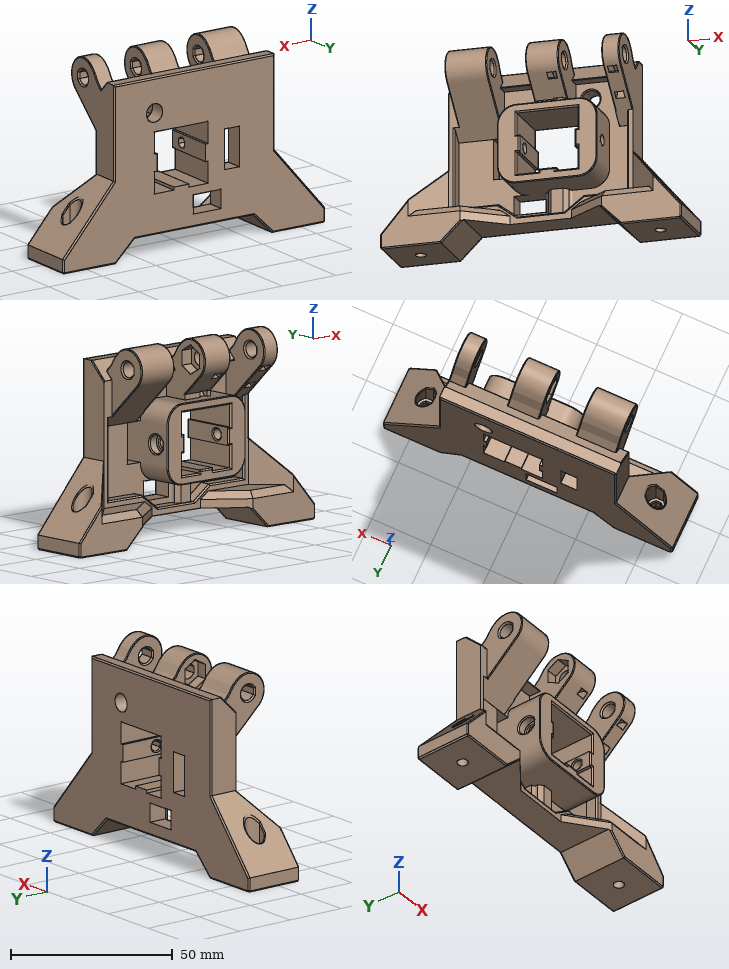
import cadquery as cq
import math

width = 98.0
foot_depth = 19.9
body_half_width = 30.0
body_depth = 10.0
body_height = 57.7
top_slope = 5.8
foot_outer_height = 4.7
foot_shoulder_height = 26.8
foot_inner_x = 29.3
bridge_half_width = 22.1
bridge_bottom = 7.0
edge_chamfer = 0.5
front_chamfer = 0.4
side_chamfer = 0.3

ledge_height = 12.0
ledge_chamfer = 2.3
ledge_chamfer_depth = 2.0
ledge_front_x = 23.0
ledge_end_x = 10.0

recess_floor_y = -6.0
recess_half_width = 28.0
recess_bottom = 14.0
recess_low_bottom = 9.3
recess_step_x = 13.9
recess_low_x = 7.5
recess_top = body_height - top_slope - 0.3
recess_chamfer = 0.5

eye_y = -17.15
eye_z = 56.1
eye_radius = 6.6
eye_spans = [(-26.8, -13.1), (-0.5, 10.2), (24.3, body_half_width)]
nut_eye = eye_spans[1]
eye_chamfer = 0.3
arm_bottom_z = 40.4
arm_top_y = -7.35
arm_knee_y = -9.4
arm_step_y = -11.2
bolt_diameter = 5.0
bolt_chamfer = 0.5
nut_flats = 8.0
nut_depth = 3.9

strap_width = 2.9
strap_inner_radius = 3.4
strap_outer_radius = 5.8
strap_z = 47.2
strap_centers = [7.3, 27.0]

housing_x = 4.9
housing_z = 30.2
housing_width = 32.4
housing_height = 25.6
housing_front_y = -18.6
housing_corner = 6.1
housing_chamfer = 0.3
opening = 20.0
opening_chamfer = 0.5
rib_thickness = 1.0
rib_width = 5.7

screw_diameter = 3.4
head_diameter = 6.0
screw_chamfer = 0.4
housing_screw_y = -13.1
housing_head_depth = 2.9
foot_screw_x = 39.0
foot_screw_y = -10.0
foot_head_seat = 5.0

cable_hole_x = 14.9
cable_hole_z = 46.4
side_window = (-16.8, 23.5, 36.7)
low_window = (-10.0, 0.4, 11.2)

floor_rib_x = 4.9
floor_rib_width = 6.8
floor_rib_rise = 2.9
floor_rib_chamfer = 1.5
floor_rib_fillet = 1.0

tie_front_y = -14.6


def box(x0, x1, y0, y1, z0, z1):
    return cq.Workplane("XY").box(x1 - x0, y1 - y0, z1 - z0, centered=False).translate((x0, y0, z0))


def front_prism(sketch, y_back, y_front):
    """Extrude a closed XZ outline from y_back to y_front."""
    return sketch.extrude(y_back - y_front).translate((0, y_back, 0))


def frame():
    right = [
        (bridge_half_width, bridge_bottom),
        (foot_inner_x, 0),
        (width / 2 - edge_chamfer, 0),
        (width / 2, edge_chamfer),
        (width / 2, foot_outer_height),
        (body_half_width, foot_shoulder_height),
        (body_half_width, body_height),
    ]
    left = [(-x, z) for x, z in reversed(right)]
    solid = front_prism(cq.Workplane("XZ").polyline(right + left).close(), 0, -foot_depth)
    return solid.faces(">Y").chamfer(edge_chamfer).faces("<Y").chamfer(front_chamfer)


def front_clearance():
    """Space in front of the body, widening at 45 degrees between the feet."""
    spread = foot_depth - body_depth
    points = [
        (-body_half_width, -body_depth),
        (body_half_width, -body_depth),
        (body_half_width + spread, -foot_depth),
        (-body_half_width - spread, -foot_depth),
    ]
    return cq.Workplane("XY").polyline(points).close().extrude(body_height)


def top_slope_cut():
    points = [
        (-body_depth + top_slope, body_height),
        (-body_depth, body_height - top_slope),
        (-body_depth, body_height),
    ]
    return cq.Workplane("YZ").polyline(points).close().extrude(body_half_width, both=True)


def side_edges(x):
    """Selects the sloping edges at one end of the body: the top slope and the foot front."""
    slope_middle = (x, -body_depth + top_slope / 2, body_height - top_slope / 2)
    foot_x = math.copysign(abs(x) + (foot_depth - body_depth) / 2, x)
    foot_z = (foot_outer_height + foot_shoulder_height) / 2
    foot_middle = (foot_x, -(body_depth + foot_depth) / 2, foot_z)
    nearest = cq.selectors.NearestToPointSelector
    return nearest(slope_middle) + nearest(foot_middle)


def ledge():
    """Left ledge; its end wall runs obliquely into the body."""
    back_y = recess_floor_y
    end_slope = (ledge_front_x - ledge_end_x) / (foot_depth - body_depth)
    points = [
        (-width / 2, back_y),
        (-width / 2, -foot_depth),
        (-ledge_front_x, -foot_depth),
        (-ledge_end_x + end_slope * (body_depth + back_y), back_y),
    ]
    solid = cq.Workplane("XY").polyline(points).close().extrude(ledge_height)
    end_edge = cq.selectors.NearestToPointSelector((-ledge_end_x, -body_depth, ledge_height))
    front_edge = cq.selectors.NearestToPointSelector((-width / 3, -foot_depth, ledge_height))
    return solid.edges(end_edge + front_edge).chamfer(ledge_chamfer, ledge_chamfer_depth)


def recess():
    points = [
        (-recess_half_width, recess_bottom),
        (-recess_step_x, recess_bottom),
        (-recess_low_x, recess_low_bottom),
        (recess_low_x, recess_low_bottom),
        (recess_step_x, recess_bottom),
        (recess_half_width, recess_bottom),
        (recess_half_width, recess_top),
        (-recess_half_width, recess_top),
    ]
    pocket = front_prism(cq.Workplane("XZ").polyline(points).close(), recess_floor_y, -body_depth)
    rim = cq.Workplane("XZ").polyline(points[:6] + [
        (recess_half_width, arm_bottom_z),
        (-recess_half_width, arm_bottom_z),
    ]).close().offset2D(recess_chamfer, "intersection")
    taper = rim.extrude(recess_chamfer, taper=45).translate((0, -body_depth, 0))
    return pocket.union(taper.mirror("XZ", (0, -body_depth, 0)))


def lower_tangent(y, z):
    """Point on the lower front of the eye where the line from (y, z) touches it."""
    distance = math.hypot(y - eye_y, z - eye_z)
    angle = math.atan2(z - eye_z, y - eye_y) - math.acos(eye_radius / distance)
    return eye_y + eye_radius * math.cos(angle), eye_z + eye_radius * math.sin(angle)


arm_top = (arm_top_y, body_height - top_slope + body_depth + arm_top_y)
arm_bottom = (-body_depth, arm_bottom_z)
arm_lower_tangent = lower_tangent(*arm_bottom)
eye_45 = eye_radius * math.sqrt(0.5)
arm_upper_tangent = (eye_y + eye_45, eye_z + eye_45)
arm_step = (arm_step_y, arm_upper_tangent[1] + arm_upper_tangent[0] - arm_step_y)
arm_knee = (arm_knee_y, arm_top[1] + arm_top_y - arm_knee_y)
underside_slope = (arm_bottom_z - arm_lower_tangent[1]) / (arm_bottom[0] - arm_lower_tangent[0])
root_y = recess_floor_y + 0.5
arm_root = (root_y, arm_bottom_z + underside_slope * (root_y + body_depth))


def eye_arm(x0, x1):
    outline = (
        cq.Workplane("YZ", origin=(x0, 0, 0))
        .moveTo(*arm_root)
        .lineTo(*arm_lower_tangent)
        .threePointArc((eye_y - eye_45, eye_z + eye_45), arm_upper_tangent)
        .lineTo(*arm_step)
        .lineTo(*arm_knee)
        .lineTo(*arm_top)
        .lineTo(root_y, arm_top[1] - 1)
        .close()
    )
    return outline.extrude(x1 - x0).faces("<X or >X").edges().chamfer(eye_chamfer)


def arm_shoulder(x0, x1):
    """Body material kept between an outer arm and the nearer side of the body."""
    points = [arm_root, arm_bottom, (-body_depth, recess_top), (root_y, recess_top)]
    return cq.Workplane("YZ", origin=(x0, 0, 0)).polyline(points).close().extrude(x1 - x0)


def drop_bore(start, direction, diameter, length, taper=0):
    """Bore from start along direction, its crown drawn out to a narrow flat facing -Y."""
    radius = diameter / 2
    half_flat = radius * math.tan(math.pi / 8)
    touch = radius * math.sqrt(0.5)
    plane = cq.Plane(origin=start, xDir=(0, -1, 0), normal=direction)
    outline = cq.Workplane(plane).moveTo(touch, touch).threePointArc((-radius, 0), (touch, -touch))
    outline = outline.lineTo(radius, -half_flat).lineTo(radius, half_flat).close()
    return outline.extrude(length, taper=taper)


def bore_mouth(start, direction, diameter, size):
    """45-degree chamfer at the mouth of a bore that starts there."""
    return drop_bore(start, direction, diameter + 2 * size, size, taper=45)


def eye_bores():
    axis_start = (-body_half_width, eye_y, eye_z)
    bores = drop_bore(axis_start, (1, 0, 0), bolt_diameter, 2 * body_half_width)
    for x0, x1 in eye_spans:
        bores = bores.union(bore_mouth((x0, eye_y, eye_z), (1, 0, 0), bolt_diameter, bolt_chamfer))
        bores = bores.union(bore_mouth((x1, eye_y, eye_z), (-1, 0, 0), bolt_diameter, bolt_chamfer))
    nut_across_corners = nut_flats / math.cos(math.pi / 6)
    nut = cq.Workplane("YZ").polygon(6, nut_across_corners).extrude(nut_depth)
    nut = nut.rotate((0, 0, 0), (1, 0, 0), 90)
    return bores.union(nut.translate((nut_eye[0], eye_y, eye_z)))


def strap_channels():
    y = -body_depth + (strap_z - arm_bottom_z) / underside_slope
    ring = cq.Workplane("YZ").circle(strap_outer_radius).circle(strap_inner_radius)
    ring = ring.extrude(strap_width / 2, both=True).translate((0, y, strap_z))
    channels = cq.Workplane("XY")
    for x in strap_centers:
        channels = channels.union(ring.translate((x, 0, 0)))
    return channels


def housing():
    outline = cq.Workplane("XZ", origin=(housing_x, 0, housing_z)).rect(housing_width, housing_height)
    solid = front_prism(outline, root_y, housing_front_y).edges("|Y").fillet(housing_corner)
    return solid.faces("<Y").chamfer(housing_chamfer)


def opening_cut():
    center = cq.Workplane("XZ", origin=(housing_x, 0, housing_z))
    bore = front_prism(center.rect(opening, opening), 0, housing_front_y)
    half = opening / 2
    for angle in (0, 90, 180):
        rib = cq.Workplane("XZ").rect(2 * rib_thickness, rib_width)
        rib = front_prism(rib, 0, housing_front_y).translate((half, 0, 0))
        rib = rib.rotate((0, 0, 0), (0, 1, 0), angle)
        bore = bore.cut(rib.translate((housing_x, 0, housing_z)))
    mouth = bore.faces("<Y").wires().toPending().offset2D(opening_chamfer, "intersection")
    mouth = mouth.extrude(-opening_chamfer, taper=45)
    return bore.union(mouth)


def floor_rib():
    bottom = recess_low_bottom - recess_chamfer
    half = floor_rib_width / 2
    side_y = recess_floor_y - floor_rib_fillet
    crest_y = recess_floor_y - floor_rib_rise
    bulge = floor_rib_fillet * (1 - math.sqrt(0.5))
    rib = (
        cq.Workplane("XY", origin=(floor_rib_x, 0, bottom))
        .moveTo(0, recess_floor_y)
        .lineTo(half + floor_rib_fillet, recess_floor_y)
        .threePointArc((half + bulge, recess_floor_y - bulge), (half, side_y))
        .lineTo(half, crest_y + floor_rib_chamfer)
        .lineTo(half - floor_rib_chamfer, crest_y)
        .lineTo(0, crest_y)
        .close()
    )
    right_half = rib.extrude(housing_z - opening / 2 - bottom)
    return right_half.union(right_half.mirror("YZ", (floor_rib_x, 0, 0)))


def housing_screw():
    inward = (1, 0, 0)
    left = (housing_x - housing_width / 2, housing_screw_y, housing_z)
    seat = (left[0] + housing_head_depth, housing_screw_y, housing_z)
    inner_wall = (housing_x + opening / 2 - rib_thickness, housing_screw_y, housing_z)
    screw = drop_bore(left, inward, screw_diameter, housing_width)
    screw = screw.union(drop_bore(left, inward, head_diameter, housing_head_depth))
    screw = screw.union(bore_mouth(left, inward, head_diameter, screw_chamfer))
    screw = screw.union(bore_mouth(seat, inward, screw_diameter, screw_chamfer))
    return screw.union(bore_mouth(inner_wall, inward, screw_diameter, screw_chamfer))


def foot_screw():
    """Upright screw hole in the right foot, with its head sunk into the slope."""
    up = (0, 0, 1)
    bottom = (foot_screw_x, foot_screw_y, 0)
    seat = (foot_screw_x, foot_screw_y, foot_head_seat)
    screw = drop_bore(bottom, up, screw_diameter, foot_shoulder_height)
    screw = screw.union(drop_bore(seat, up, head_diameter, foot_shoulder_height))
    return screw.union(bore_mouth(seat, (0, 0, -1), screw_diameter, screw_chamfer))


def foot_screw_mouth():
    """Chamfer between the head bore and a wider bore outline on the slope of the right foot."""
    prism = frame()
    start = (foot_screw_x, foot_screw_y, 0)
    slope_top = (foot_screw_x, foot_screw_y, foot_shoulder_height)
    wires = []
    for diameter, sink in ((head_diameter + 2 * screw_chamfer, 0), (head_diameter, screw_chamfer)):
        bore = drop_bore(start, (0, 0, 1), diameter, foot_shoulder_height)
        cut_off = bore.intersect(prism.translate((0, 0, -sink)))
        mouth = cut_off.faces(cq.selectors.NearestToPointSelector(slope_top))
        wires.append(mouth.val().outerWire())
    return cq.Workplane(obj=cq.Solid.makeLoft(wires, True))


def windows():
    housing_left = housing_x - housing_width / 2
    housing_bottom = housing_z - housing_height / 2
    side_x, side_low, side_high = side_window
    low_left, low_right, low_z = low_window
    cut = box(side_x, housing_left, recess_floor_y, 0, side_low, side_high)
    cut = cut.union(box(low_left, low_right, recess_floor_y, 0, low_z, housing_bottom))
    cable = cq.Workplane("XZ", origin=(cable_hole_x, 0, cable_hole_z)).circle(head_diameter / 2)
    cable = front_prism(cable, 0, recess_floor_y)
    mouth_plane = cq.Plane(origin=(cable_hole_x, recess_floor_y, cable_hole_z), normal=(0, 1, 0))
    mouth = cq.Workplane(mouth_plane).circle(head_diameter / 2 + screw_chamfer)
    return cut.union(cable).union(mouth.extrude(screw_chamfer, taper=45))


def build():
    prism = frame()
    part = prism.cut(front_clearance()).cut(top_slope_cut())
    for x in (-body_half_width, body_half_width):
        part = part.edges(side_edges(x)).chamfer(side_chamfer)
    left_ledge = ledge().intersect(prism)
    part = part.union(left_ledge).union(left_ledge.mirror("YZ")).cut(recess())
    for span in eye_spans:
        part = part.union(eye_arm(*span))
    part = part.union(arm_shoulder(-body_half_width + 0.5, eye_spans[0][1]))
    part = part.union(arm_shoulder(eye_spans[2][0], body_half_width))
    housing_top = housing_z + housing_height / 2
    tie_top = arm_bottom_z + underside_slope * (tie_front_y + body_depth)
    part = part.union(box(*nut_eye, tie_front_y, root_y, housing_top - 1, tie_top))
    part = part.cut(strap_channels()).union(housing()).union(floor_rib())
    part = part.cut(windows()).cut(opening_cut())
    part = part.cut(eye_bores()).cut(housing_screw())
    screw = foot_screw().union(foot_screw_mouth())
    part = part.cut(screw).cut(screw.mirror("YZ"))
    return part


result = build()